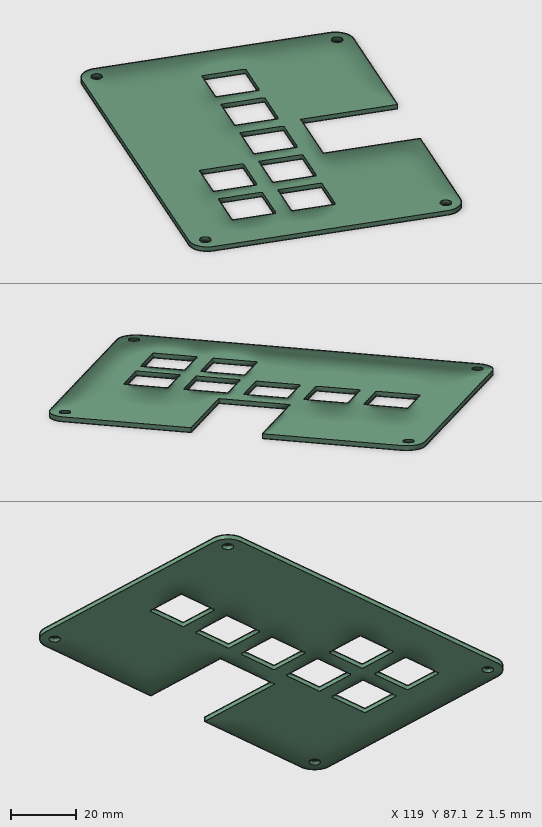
import cadquery as cq

plate_length = 119.0
plate_width = 87.1
plate_thickness = 1.5
corner_radius = 6.0

hole_diameter = 3.5
hole_inset = 5.0

notch_width = 22.6
notch_depth = 31.1
notch_center_x = 1.8

key_size = 14.0
key_corner_radius = 0.5
key_pitch = 19.0
upper_row_y = -0.8
lower_row_y = upper_row_y - key_pitch
upper_row_columns = (-2, -1, 0, 1, 2)
lower_row_columns = (1, 2)


def make_plate():
    """Flat plate with rounded vertical corners."""
    blank = cq.Workplane("XY").box(plate_length, plate_width, plate_thickness)
    return blank.edges("|Z").fillet(corner_radius)


def make_mounting_holes():
    """Cylinders at the four corner hole positions."""
    return (
        cq.Workplane("XY")
        .rect(plate_length - 2 * hole_inset, plate_width - 2 * hole_inset, forConstruction=True)
        .vertices()
        .circle(hole_diameter / 2)
        .extrude(plate_thickness, both=True)
    )


def make_notch():
    """Rectangular block whose inner end is notch_depth in from the +Y edge."""
    return (
        cq.Workplane("XY")
        .center(notch_center_x, plate_width / 2)
        .rect(notch_width, 2 * notch_depth)
        .extrude(plate_thickness, both=True)
    )


def make_key_openings():
    """Rounded square blocks for both rows of keys."""
    upper_row = [(column * key_pitch, upper_row_y) for column in upper_row_columns]
    lower_row = [(column * key_pitch, lower_row_y) for column in lower_row_columns]
    return (
        cq.Workplane("XY")
        .pushPoints(upper_row + lower_row)
        .rect(key_size, key_size)
        .extrude(plate_thickness, both=True)
        .edges("|Z")
        .fillet(key_corner_radius)
    )


result = make_plate().cut(make_mounting_holes()).cut(make_notch()).cut(make_key_openings())